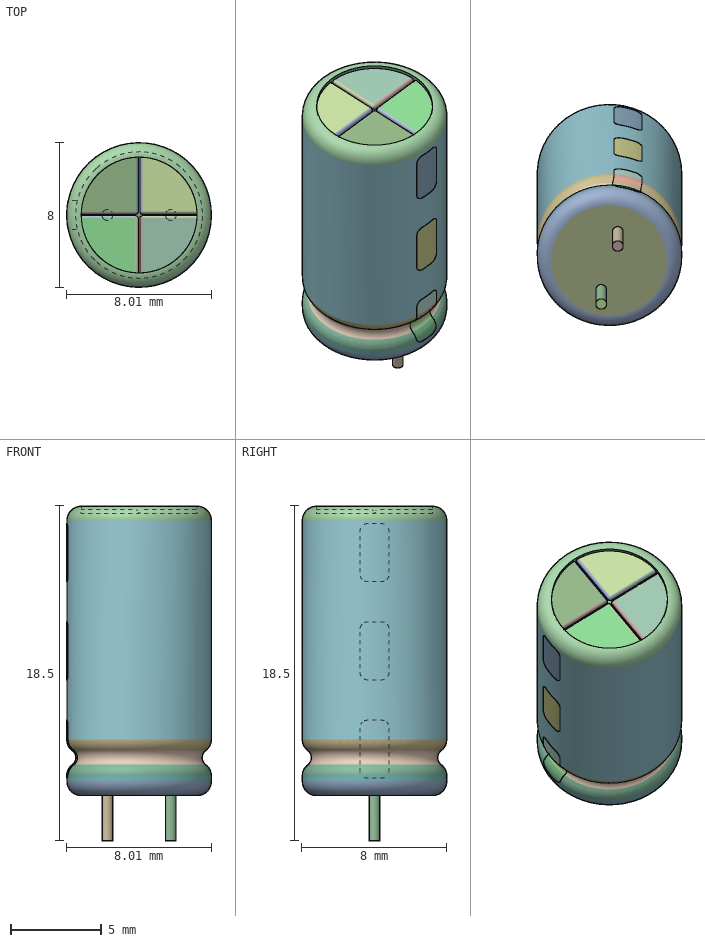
import cadquery as cq
import math

can_radius = 4.0
can_height = 16.0
rim_fillet = 0.8

neck_height = 2.1
neck_radius = 3.5
neck_half_span = 1.0
neck_concave_radius = 0.5

vent_radius = 3.2
vent_depth = 0.2
score_depth = 0.2
score_gap = 0.08
score_edge_radius = 0.15
score_floor = can_height - vent_depth - score_depth
petal_overrun = 0.5

mark_thickness = 0.01
mark_width = 1.6
mark_height = 3.2
mark_corner_radius = 0.4
mark_count = 3
mark_pitch = 5.43
mark_middle_height = can_height / 2

lead_radius = 0.3
lead_pitch = 3.5
lead_length = 2.5
lead_embed = 0.5


def can(offset=0.0):
    """Solid of revolution of the can, its whole surface moved outwards by offset."""
    neck_depth = can_radius - neck_radius
    turn = 2 * math.atan(neck_depth / neck_half_span)
    concave = neck_concave_radius - offset
    convex = neck_half_span / math.sin(turn) - concave
    rim = rim_fillet + offset
    wall = can_radius + offset
    waist = neck_radius + offset

    blend_radius = waist + concave * (1 - math.cos(turn))
    blend_rise = concave * math.sin(turn)
    bulge_radius = wall - convex * (1 - math.cos(turn / 2))
    bulge_rise = neck_half_span - convex * math.sin(turn / 2)
    face_radius = can_radius - rim_fillet
    rim_mid = rim * math.sin(math.pi / 4)
    top_rim_center = can_height - rim_fillet

    profile = (
        cq.Workplane("XZ")
        .moveTo(0, -offset)
        .lineTo(face_radius, -offset)
        .threePointArc((face_radius + rim_mid, rim_fillet - rim_mid), (wall, rim_fillet))
        .lineTo(wall, neck_height - neck_half_span)
        .threePointArc((bulge_radius, neck_height - bulge_rise), (blend_radius, neck_height - blend_rise))
        .threePointArc((waist, neck_height), (blend_radius, neck_height + blend_rise))
        .threePointArc((bulge_radius, neck_height + bulge_rise), (wall, neck_height + neck_half_span))
        .lineTo(wall, top_rim_center)
        .threePointArc((face_radius + rim_mid, top_rim_center + rim_mid), (face_radius, can_height + offset))
        .lineTo(0, can_height + offset)
        .close()
    )
    return profile.revolve(360, (0, 0, 0), (0, 1, 0))


def vent_recess():
    """Disc cut out of the top down to the bottom of the score lines."""
    return cq.Workplane("XY").workplane(offset=score_floor).circle(vent_radius).extrude(vent_depth + score_depth)


def vent_petals():
    """Four quadrants with rounded inner edges that leave the score cross between them."""
    block = (
        cq.Workplane("XY")
        .workplane(offset=score_floor - petal_overrun)
        .center(score_gap / 2, score_gap / 2)
        .rect(vent_radius + petal_overrun, vent_radius + petal_overrun, centered=False)
        .extrude(petal_overrun + score_depth)
        .edges("(<X and <Y) or (>Z and <X) or (>Z and <Y)")
        .fillet(score_edge_radius)
    )
    petal = block.intersect(vent_recess())
    petals = cq.Workplane("XY")
    for quarter in range(4):
        petals = petals.add(petal.rotate((0, 0, 0), (0, 0, 1), 90 * quarter))
    return petals.combine()


def polarity_marks():
    """Thin raised patches that follow the can wall."""
    heights = [mark_middle_height + mark_pitch * (i - (mark_count - 1) / 2) for i in range(mark_count)]
    outline = (
        cq.Workplane("YZ")
        .pushPoints([(0, height) for height in heights])
        .rect(mark_width, mark_height)
        .extrude(-2 * can_radius)
        .edges("|X")
        .fillet(mark_corner_radius)
    )
    return outline.intersect(can(mark_thickness)).cut(can())


def leads():
    """Two round wires, rooted a little way inside the can."""
    return (
        cq.Workplane("XY")
        .workplane(offset=-lead_length)
        .pushPoints([(-lead_pitch / 2, 0), (lead_pitch / 2, 0)])
        .circle(lead_radius)
        .extrude(lead_length + lead_embed)
    )


result = can().cut(vent_recess()).union(vent_petals()).union(polarity_marks()).union(leads())